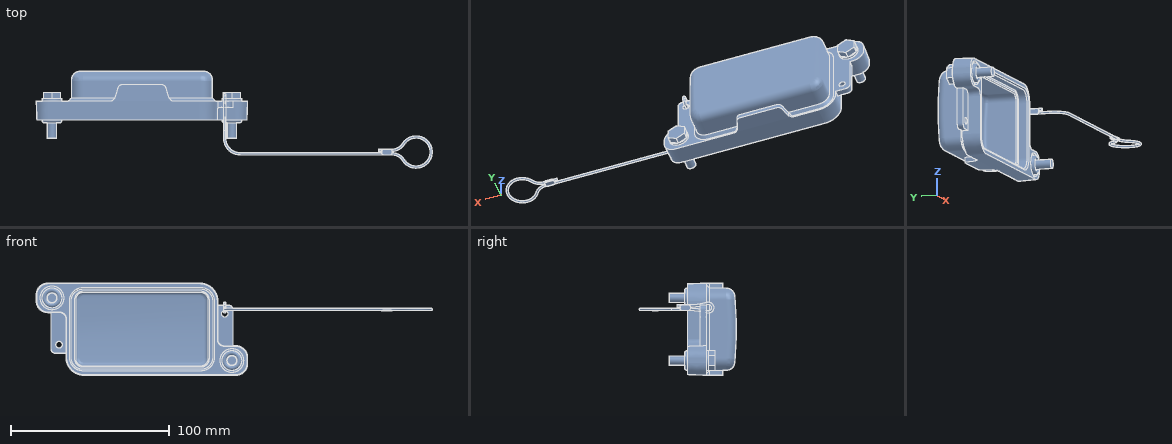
import cadquery as cq
import math

SIDES = (1, -1)

FLANGE_DEPTH = 12.0
FLANGE_DRAFT = 2.0
HALF_HEIGHT = 29.05
HALF_LENGTH = 66.5
BODY_HALF_WIDTH = 48.0
BODY_CORNER_RADIUS = 11.5
EAR_HEIGHT = 18.7
EAR_CORNER_RADIUS = 7.5
EAR_ROOT_RADIUS = 4.0
EAR_INNER_Z = HALF_HEIGHT - EAR_HEIGHT

DOME_HALF_WIDTH = 44.5
DOME_HALF_HEIGHT = 26.0
DOME_CORNER_RADIUS = 7.5
DOME_BACK_RADIUS = 5.5
DOME_TOP = 31.0
CROWN_RISE = 1.5
SKIRT = 2.0

MOUTH_HALF_WIDTH = 44.6
MOUTH_HALF_HEIGHT = 25.2
MOUTH_DEPTH = 6.5
MOUTH_CORNER_RADIUS = 7.5
MOUTH_CHAMFER = 1.0
SIDE_WALL = 2.7
BACK_WALL = 2.2
SEAT_CHAMFER = 0.7
FLOOR_RADIUS = 2.5
CHAMBER_CORNER_RADIUS = DOME_CORNER_RADIUS - SIDE_WALL

GRIP_BACK = 22.5
GRIP_TOP_HALF_WIDTH = 14.5
GRIP_BASE_HALF_WIDTH = 17.0
GRIP_CORNER_RADIUS = 3.0

TAB_FRONT = 8.0
TAB_HALF_LENGTH = 57.4
TAB_END_Z = 15.2
TAB_CORNER_RADIUS = 3.0
TAB_HOLE_X = 52.0
TAB_HOLE_Z = 9.7
TAB_HOLE_RADIUS = 2.0

BOLT_X = 56.5
BOLT_Z = 19.7
RECESS_RADIUS = 7.5
RECESS_DEPTH = 2.0
COLLAR_RADIUS = 6.2
COLLAR_HEIGHT = 1.7
COLLAR_BEAD_RADIUS = 1.5
SHANK_RADIUS = 3.0
SHANK_LENGTH = 11.5
WASHER_RADIUS = 6.2
WASHER_HEIGHT = 1.5
HEAD_ACROSS_FLATS = 11.0
HEAD_HEIGHT = 4.0

WIRE_RADIUS = 0.7
STRAND_GAP = 2.2
BEND_RADIUS = 9.7
TETHER_X = 52.0
TETHER_Y = -21.2
TETHER_Z = 12.5
CRIMP_LENGTH = 6.5
CRIMP_WIDTH = 3.5
CRIMP_THICKNESS = 1.7
CRIMP_CHAMFER = 0.7
STUB_LENGTH = 2.0
END_LOOP_RADIUS = 9.5
END_LOOP_NECK_RADIUS = 8.5
TAB_LOOP_RADIUS = 2.7
TAB_LOOP_NECK_RADIUS = 37.5
TAB_LOOP_Y = 13.2
OVERALL_LENGTH = 249.4
TETHER_END = OVERALL_LENGTH - HALF_LENGTH
END_LOOP_X = TETHER_END - WIRE_RADIUS - END_LOOP_RADIUS


def front_plane(y):
    """Plane facing -Y at the given Y, with local axes along X and Z."""
    return cq.Workplane("XZ", origin=(0, y, 0))


def fillet_corner(body, x, z, y, radius):
    """Round the edge along Y that runs through (x, z)."""
    return body.edges(cq.selectors.NearestToPointSelector((x, y, z))).fillet(radius)


def make_flange():
    """Drafted plate, full size at its back face."""
    half = [
        (BODY_HALF_WIDTH, HALF_HEIGHT, BODY_CORNER_RADIUS),
        (BODY_HALF_WIDTH, -EAR_INNER_Z, EAR_ROOT_RADIUS),
        (HALF_LENGTH, -EAR_INNER_Z, EAR_CORNER_RADIUS),
        (HALF_LENGTH, -HALF_HEIGHT, EAR_CORNER_RADIUS),
    ]
    corners = [(side * x, side * z, radius) for side in SIDES for x, z, radius in half]
    outline = [(x, z) for x, z, radius in corners]
    blank = front_plane(FLANGE_DEPTH).polyline(outline).close().extrude(FLANGE_DEPTH)
    for x, z, radius in corners:
        blank = fillet_corner(blank, x, z, FLANGE_DEPTH / 2, radius)
    rounded_outline = blank.faces(">Y").wires().vals()
    return (
        front_plane(FLANGE_DEPTH)
        .newObject(rounded_outline)
        .toPending()
        .extrude(FLANGE_DEPTH, taper=FLANGE_DRAFT)
    )


def crowned_block(half_width, half_height, top, corner_radius, back_radius):
    """Block from Y = 0 along +Y with rounded corners and a cylindrical, round-edged back."""
    shoulder = top - CROWN_RISE
    block = (
        cq.Workplane("YZ", origin=(-half_width, 0, 0))
        .moveTo(0, -half_height)
        .lineTo(shoulder, -half_height)
        .threePointArc((top, 0), (shoulder, half_height))
        .lineTo(0, half_height)
        .close()
        .extrude(2 * half_width)
    )
    return block.edges("|Y").fillet(corner_radius).faces(">Y").edges().fillet(back_radius)


def make_flare(half_width, half_height, corner_radius, base, size):
    """45 degree flare round the foot of a rounded block, widest at the given Y."""
    return (
        cq.Workplane("ZX", origin=(0, base, 0))
        .sketch()
        .rect(2 * (half_height + size), 2 * (half_width + size))
        .vertices()
        .fillet(corner_radius + size)
        .finalize()
        .extrude(size, taper=45)
    )


def make_dome():
    dome = crowned_block(
        DOME_HALF_WIDTH, DOME_HALF_HEIGHT, DOME_TOP, DOME_CORNER_RADIUS, DOME_BACK_RADIUS
    )
    skirt = make_flare(DOME_HALF_WIDTH, DOME_HALF_HEIGHT, DOME_CORNER_RADIUS, FLANGE_DEPTH, SKIRT)
    return dome.union(skirt)


def make_cavity():
    mouth = (
        cq.Workplane("ZX")
        .rect(2 * MOUTH_HALF_HEIGHT, 2 * MOUTH_HALF_WIDTH)
        .extrude(MOUTH_DEPTH)
        .edges("|Y")
        .fillet(MOUTH_CORNER_RADIUS)
    )
    mouth_edge = make_flare(MOUTH_HALF_WIDTH, MOUTH_HALF_HEIGHT, MOUTH_CORNER_RADIUS, 0, MOUTH_CHAMFER)
    chamber_half_width = DOME_HALF_WIDTH - SIDE_WALL
    chamber_half_height = DOME_HALF_HEIGHT - SIDE_WALL
    chamber = crowned_block(
        chamber_half_width,
        chamber_half_height,
        DOME_TOP - BACK_WALL,
        CHAMBER_CORNER_RADIUS,
        FLOOR_RADIUS,
    )
    seat_edge = make_flare(
        chamber_half_width, chamber_half_height, CHAMBER_CORNER_RADIUS, MOUTH_DEPTH, SEAT_CHAMFER
    )
    return mouth.union(mouth_edge).union(chamber).union(seat_edge)


def make_grips():
    """Trapezoid bar through the dome, flush with the flange on both long sides."""
    grip = (
        cq.Workplane("XY", origin=(0, 0, -HALF_HEIGHT))
        .moveTo(-GRIP_BASE_HALF_WIDTH - SKIRT, FLANGE_DEPTH)
        .lineTo(-GRIP_BASE_HALF_WIDTH, FLANGE_DEPTH + SKIRT)
        .lineTo(-GRIP_TOP_HALF_WIDTH, GRIP_BACK)
        .lineTo(GRIP_TOP_HALF_WIDTH, GRIP_BACK)
        .lineTo(GRIP_BASE_HALF_WIDTH, FLANGE_DEPTH + SKIRT)
        .lineTo(GRIP_BASE_HALF_WIDTH + SKIRT, FLANGE_DEPTH)
        .close()
        .extrude(2 * HALF_HEIGHT)
    )
    return grip.faces(">Y").edges("|Z").fillet(GRIP_CORNER_RADIUS)


def make_tab(side):
    """Lug with a tether hole; its buried edges end inside the flange wall and the ear."""
    inner_x = MOUTH_HALF_WIDTH + MOUTH_CHAMFER
    tab = (
        front_plane(FLANGE_DEPTH)
        .moveTo(side * inner_x, -side * BOLT_Z)
        .lineTo(side * TAB_HALF_LENGTH, -side * BOLT_Z)
        .lineTo(side * TAB_HALF_LENGTH, side * TAB_END_Z)
        .lineTo(side * inner_x, side * TAB_END_Z)
        .close()
        .extrude(FLANGE_DEPTH - TAB_FRONT)
    )
    tab = fillet_corner(tab, side * TAB_HALF_LENGTH, side * TAB_END_Z, FLANGE_DEPTH, TAB_CORNER_RADIUS)
    hole = (
        front_plane(FLANGE_DEPTH)
        .center(side * TAB_HOLE_X, side * TAB_HOLE_Z)
        .circle(TAB_HOLE_RADIUS)
        .extrude(FLANGE_DEPTH)
    )
    return tab.cut(hole)


def bolt_plane(y, side):
    return front_plane(y).center(side * BOLT_X, -side * BOLT_Z)


def make_recess(side):
    return bolt_plane(RECESS_DEPTH, side).circle(RECESS_RADIUS).extrude(RECESS_DEPTH)


def make_bolt(side):
    washer_back = FLANGE_DEPTH + WASHER_HEIGHT
    head_back = washer_back + HEAD_HEIGHT
    head_corner_diameter = HEAD_ACROSS_FLATS / math.cos(math.pi / 6)
    shank = bolt_plane(RECESS_DEPTH, side).circle(SHANK_RADIUS).extrude(RECESS_DEPTH + SHANK_LENGTH)
    bead_y = COLLAR_BEAD_RADIUS - COLLAR_HEIGHT
    collar = bolt_plane(RECESS_DEPTH, side).circle(COLLAR_RADIUS).extrude(RECESS_DEPTH - bead_y)
    bead = cq.Solid.makeTorus(
        COLLAR_RADIUS - COLLAR_BEAD_RADIUS,
        COLLAR_BEAD_RADIUS,
        cq.Vector(side * BOLT_X, bead_y, -side * BOLT_Z),
        cq.Vector(0, 1, 0),
    )
    washer = bolt_plane(washer_back, side).circle(WASHER_RADIUS).extrude(WASHER_HEIGHT)
    head = (
        bolt_plane(head_back, side)
        .transformed(rotate=(0, 0, 90))
        .polygon(6, head_corner_diameter)
        .extrude(HEAD_HEIGHT)
    )
    return shank.union(collar).union(bead).union(washer).union(head)


def make_loop(plane, loop_radius, neck_radius, main_length):
    """Wire eye with its crimp, centred on the plane origin and closing along local -x.

    The wire comes in along the lower strand, swings round the eye and ends in a
    short stub on the upper strand; the crimp holds both strands together.
    """
    strand = STRAND_GAP / 2
    neck_y = strand + neck_radius
    neck_x = -math.sqrt((loop_radius + neck_radius) ** 2 - neck_y ** 2)
    join_angle = math.atan2(neck_y, neck_x)
    join = (loop_radius * math.cos(join_angle), loop_radius * math.sin(join_angle))
    neck_mid_angle = (join_angle - math.pi - math.pi / 2) / 2
    neck_mid = (
        neck_x + neck_radius * math.cos(neck_mid_angle),
        neck_y + neck_radius * math.sin(neck_mid_angle),
    )
    crimp_start = neck_x - CRIMP_LENGTH
    start = (-main_length, -strand)
    path = (
        cq.Workplane(plane)
        .moveTo(*start)
        .lineTo(neck_x, -strand)
        .threePointArc((neck_mid[0], -neck_mid[1]), (join[0], -join[1]))
        .threePointArc((loop_radius, 0), join)
        .threePointArc(neck_mid, (neck_x, strand))
        .lineTo(crimp_start - STUB_LENGTH, strand)
    )
    section = cq.Workplane(cq.Plane(plane.toWorldCoords(start), normal=plane.xDir))
    wire = section.circle(WIRE_RADIUS).sweep(path)
    crimp = (
        cq.Workplane(plane)
        .center(crimp_start + CRIMP_LENGTH / 2, 0)
        .rect(CRIMP_LENGTH, CRIMP_WIDTH)
        .extrude(CRIMP_THICKNESS / 2, both=True)
        .edges(cq.selectors.ParallelDirSelector(plane.zDir))
        .chamfer(CRIMP_CHAMFER)
    )
    return wire.union(crimp)


def make_tether():
    bend_start_y = TETHER_Y + BEND_RADIUS
    bend_end_x = TETHER_X + BEND_RADIUS
    bend_path = (
        cq.Workplane("XY", origin=(0, 0, TETHER_Z))
        .moveTo(TETHER_X, bend_start_y)
        .radiusArc((bend_end_x, TETHER_Y), -BEND_RADIUS)
    )
    bend = (
        cq.Workplane("XZ", origin=(TETHER_X, bend_start_y, TETHER_Z))
        .circle(WIRE_RADIUS)
        .sweep(bend_path)
    )
    strand = STRAND_GAP / 2
    tab_plane = cq.Plane((TETHER_X, TAB_LOOP_Y, TETHER_Z + strand), xDir=(0, 1, 0), normal=(1, 0, 0))
    end_plane = cq.Plane((END_LOOP_X, TETHER_Y + strand, TETHER_Z))
    tab_loop = make_loop(tab_plane, TAB_LOOP_RADIUS, TAB_LOOP_NECK_RADIUS, TAB_LOOP_Y - bend_start_y)
    end_loop = make_loop(end_plane, END_LOOP_RADIUS, END_LOOP_NECK_RADIUS, END_LOOP_X - bend_end_x)
    return tab_loop.union(bend).union(end_loop)


cover = make_flange().union(make_dome()).union(make_grips())
for side in SIDES:
    cover = cover.union(make_tab(side)).cut(make_recess(side))
cover = cover.cut(make_cavity())
for side in SIDES:
    cover = cover.union(make_bolt(side))
result = cover.union(make_tether())